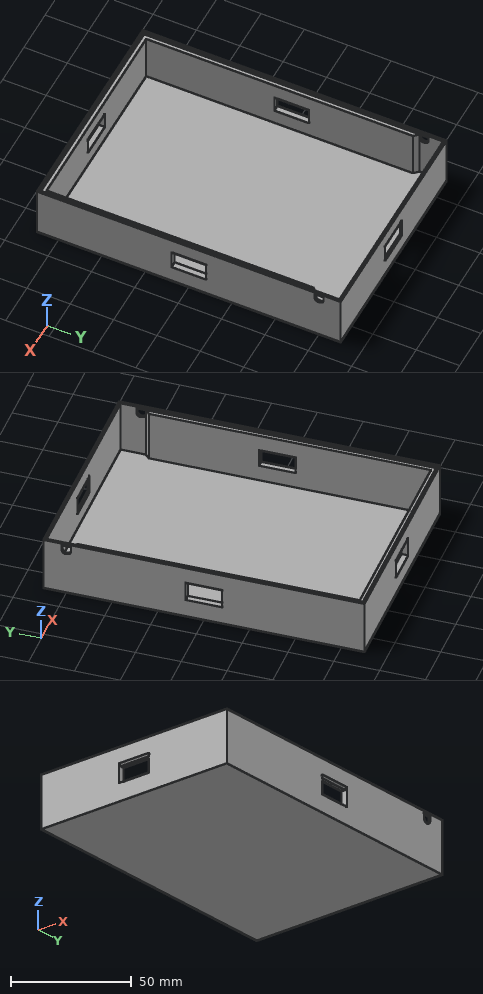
import cadquery as cq

WIDTH = 100.0
LENGTH = 140.0
HEIGHT = 25.0
WALL = 1.0
FLOOR = WALL

LEDGE_WIDTH = 2 * WALL
LEDGE_DROP = WALL
LEDGE_BACK_GAP = 14.0

WINDOW_WIDTH = 16.0
WINDOW_BOTTOM = 8.5
WINDOW_HEIGHT = 8.0
WINDOW_FLARE = WALL
WINDOW_FLARE_DEPTH = WALL

HOLE_WIDTH = 4.0
HOLE_BACK_GAP = 10.0
HOLE_TOP_DROP = LEDGE_DROP
HOLE_HEIGHT = HOLE_WIDTH

BASE = (True, True, False)


def make_tray():
    outer = cq.Workplane("XY").box(WIDTH, LENGTH, HEIGHT, centered=BASE)
    cavity = cq.Workplane("XY", origin=(0, 0, FLOOR)).box(
        WIDTH - 2 * WALL, LENGTH - 2 * WALL, HEIGHT, centered=BASE
    )
    return outer.cut(cavity)


def make_ledge():
    """U-shaped step whose back ends taper into the side walls at 45 degrees."""
    outer_x = WIDTH / 2 - WALL
    inner_x = outer_x - LEDGE_WIDTH
    front_y = -LENGTH / 2 + WALL
    inner_front_y = front_y + LEDGE_WIDTH
    end_y = LENGTH / 2 - LEDGE_BACK_GAP
    tip_y = end_y + LEDGE_WIDTH
    outline = [
        (-outer_x, front_y),
        (outer_x, front_y),
        (outer_x, tip_y),
        (inner_x, end_y),
        (inner_x, inner_front_y),
        (-inner_x, inner_front_y),
        (-inner_x, end_y),
        (-outer_x, tip_y),
    ]
    return cq.Workplane("XY").polyline(outline).close().extrude(HEIGHT - LEDGE_DROP)


def make_window(wall_direction, half_span):
    """Opening in the wall whose outer face lies half_span from the centre."""
    top_z = WINDOW_BOTTOM + WINDOW_HEIGHT
    profile = [
        (0, WINDOW_BOTTOM),
        (half_span, WINDOW_BOTTOM),
        (half_span, top_z + WINDOW_FLARE),
        (half_span - WINDOW_FLARE_DEPTH, top_z),
        (0, top_z),
    ]
    window = cq.Workplane("XZ").polyline(profile).close().extrude(WINDOW_WIDTH / 2, both=True)
    return window.rotate((0, 0, 0), (0, 0, 1), wall_direction)


def make_finger_holes():
    radius = HOLE_WIDTH / 2
    center_y = LENGTH / 2 - HOLE_BACK_GAP
    top_z = HEIGHT - HOLE_TOP_DROP
    bottom_z = top_z - HOLE_HEIGHT
    profile = (
        cq.Workplane("YZ")
        .moveTo(center_y - radius, top_z)
        .lineTo(center_y - radius, bottom_z + radius)
        .threePointArc((center_y, bottom_z), (center_y + radius, bottom_z + radius))
        .lineTo(center_y + radius, top_z)
        .close()
    )
    return profile.extrude(WIDTH / 2, both=True)


result = make_tray().union(make_ledge()).cut(make_finger_holes())
for wall_direction, half_span in [(0, WIDTH / 2), (90, LENGTH / 2), (180, WIDTH / 2), (270, LENGTH / 2)]:
    result = result.cut(make_window(wall_direction, half_span))